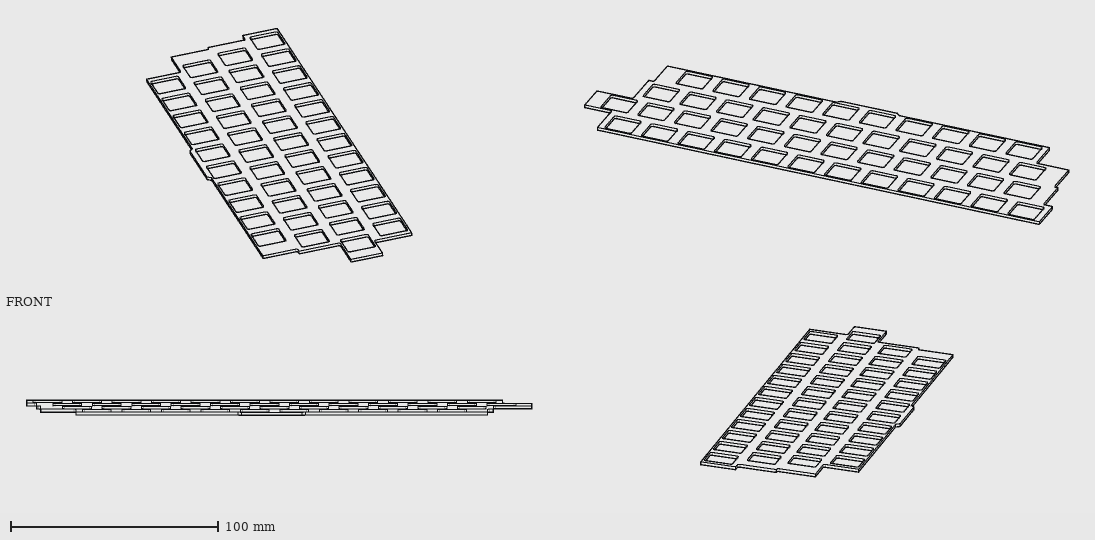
import cadquery as cq


thickness = 1.51
tilt_angle = 4.5

rear_row_keys = 12
rear_row_span = 209.5
pitch = rear_row_span / (rear_row_keys - 1)
cutout_size = 14.0
cutout_radius = 1.0

rows = [
    (0, rear_row_keys),
    (0.5, 12),
    (0.75, 11),
    (1.25, 10),
]

side_margin = 3.2
rear_margin = 0.93
front_margin = 1.0
row3_right_margin = 3.5
row4_right_margin = 10.2

tab_rear_margin = 1.07
tab_front_margin = 1.0

plate_length = 244
row2_inset = 5.0
row3_inset = 6.8
outline_radius = 1.0

lip_start = 102.0
lip_length = 32.7
lip_depth = 1.75
lip_bevel = 1.7

half_cutout = cutout_size / 2


def key_x(row, column):
    return (rows[row][0] + column) * pitch


def row_y(row):
    return -row * pitch


def row_end(row):
    """X of the right side of the last cutout in a row."""
    return key_x(row, rows[row][1] - 1) + half_cutout


def boundary_y(row):
    """Y halfway between a row and the next one towards the front."""
    return row_y(row + 0.5)


left = -half_cutout - side_margin
right = left + plate_length
rear = half_cutout + rear_margin
front = row_y(3) - half_cutout - front_margin
tab_rear = row_y(1) + half_cutout + tab_rear_margin
tab_front = row_y(1) - half_cutout - tab_front_margin

row1_right = row_end(0) + side_margin
row2_left = left + row2_inset
row3_left = left + row3_inset
row3_right = row_end(2) + row3_right_margin
row4_left = key_x(3, 0) - half_cutout - side_margin
row4_right = row_end(3) + row4_right_margin

lip_left = left + lip_start
lip_right = lip_left + lip_length
lip_front = front - lip_depth


def make_sheet():
    outline = [
        (left, rear),
        (row1_right, rear),
        (row1_right, tab_rear),
        (right, tab_rear),
        (right, tab_front),
        (row3_right, tab_front),
        (row3_right, boundary_y(2)),
        (row4_right, boundary_y(2)),
        (row4_right, front),
        (lip_right, front),
        (lip_right - lip_bevel, lip_front),
        (lip_left + lip_bevel, lip_front),
        (lip_left, front),
        (row4_left, front),
        (row4_left, boundary_y(2)),
        (row3_left, boundary_y(2)),
        (row3_left, boundary_y(1)),
        (row2_left, boundary_y(1)),
        (row2_left, boundary_y(0)),
        (left, boundary_y(0)),
    ]
    rounded_corners = [
        (row1_right, tab_rear),
        (row3_right, tab_front),
        (row4_right, boundary_y(2)),
        (row4_left, boundary_y(2)),
        (row3_left, boundary_y(1)),
        (row2_left, boundary_y(0)),
    ]
    sheet = cq.Workplane("XY").polyline(outline).close().extrude(thickness)
    for x, y in rounded_corners:
        corner_edge = cq.NearestToPointSelector((x, y, thickness / 2))
        sheet = sheet.edges(corner_edge).fillet(outline_radius)
    return sheet


def make_cutouts():
    centres = [
        (key_x(row, column), row_y(row))
        for row, (_, key_count) in enumerate(rows)
        for column in range(key_count)
    ]
    return (
        cq.Workplane("XY")
        .pushPoints(centres)
        .rect(cutout_size, cutout_size)
        .extrude(thickness)
        .edges("|Z")
        .fillet(cutout_radius)
    )


plate = make_sheet().cut(make_cutouts())
result = plate.rotate((0, 0, 0), (1, 0, 0), tilt_angle)